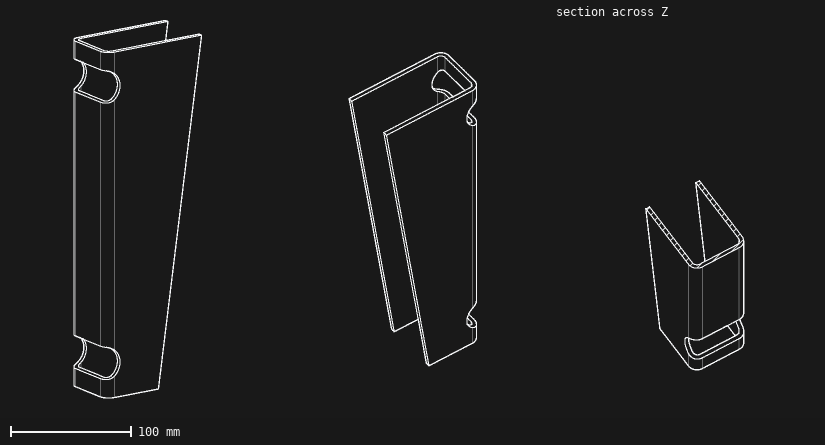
import cadquery as cq

width = 53.0
height = 300.0
depth_top = 97.0
depth_bottom = 53.0

thickness = 4.0
outer_bend_radius = 8.5
inner_bend_radius = outer_bend_radius - thickness

notch_radius = 14.0
notch_end_distance = 30.0


def rounded_block(block_width, front_y, bend_radius):
    """Full-height block whose two vertical front edges are rounded."""
    block_depth = depth_top - front_y
    return (
        cq.Workplane("XY")
        .box(block_width, block_depth, height, centered=(True, False, False))
        .translate((0, front_y, 0))
        .edges("|Z and <Y")
        .fillet(bend_radius)
    )


def channel():
    """U-shaped channel, open at the back and at both ends."""
    outside = rounded_block(width, 0, outer_bend_radius)
    inside = rounded_block(width - 2 * thickness, thickness, inner_bend_radius)
    return outside.cut(inside)


def side_profile():
    """Tapered side outline, extruded over the full width."""
    return (
        cq.Workplane("YZ")
        .polyline([(0, 0), (depth_bottom, 0), (depth_top, height), (0, height)])
        .close()
        .extrude(width / 2, both=True)
    )


def web_notches():
    """Cylinders along X, centred on the front face near each end."""
    return (
        cq.Workplane("YZ")
        .pushPoints([(0, notch_end_distance), (0, height - notch_end_distance)])
        .circle(notch_radius)
        .extrude(width, both=True)
    )


result = channel().intersect(side_profile()).cut(web_notches())